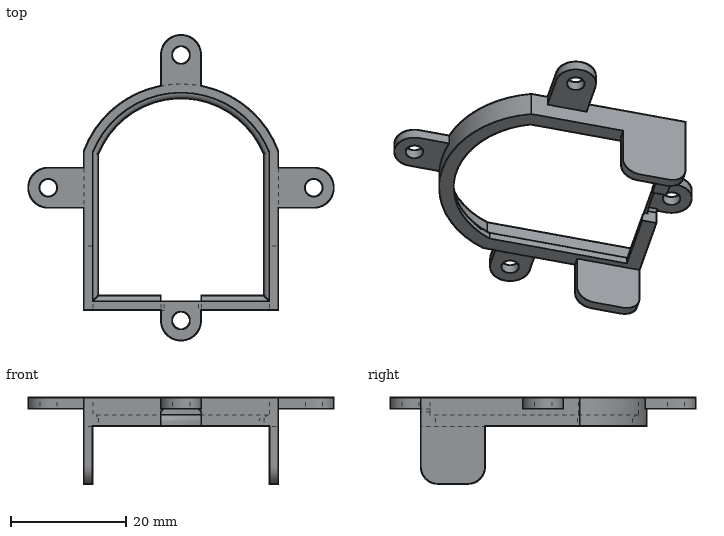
import cadquery as cq
import math

frame_width = 33.7
frame_front = -21.2
arch_radius = 18.0
wall = 1.55
frame_height = 5.0

ledge_width = 1.0
ledge_height = 2.0
ledge_embed = 0.75
ledge_top = ledge_height - frame_height

ear_reach = 26.5
ear_radius = 3.5
ear_thickness = 1.95
ear_hole_diameter = 3.0
ear_center = ear_reach - ear_radius

overall_height = 15.0
leg_depth = 11.2
leg_corner_radius = 3.0

notch_chamfer = 0.5


def arch_outline(inset, z):
    """Arch-topped rectangle, inset from the frame's outer outline."""
    half_width = frame_width / 2 - inset
    front = frame_front + inset
    radius = arch_radius - inset
    shoulder = math.sqrt(radius**2 - half_width**2)
    return (
        cq.Workplane("XY", origin=(0, 0, z))
        .moveTo(-half_width, front)
        .lineTo(half_width, front)
        .lineTo(half_width, shoulder)
        .threePointArc((0, radius), (-half_width, shoulder))
        .close()
    )


def frame_wall():
    outer = arch_outline(0, -frame_height).extrude(frame_height)
    return outer.cut(arch_outline(wall, -frame_height).extrude(frame_height))


def rail_profile(plane, inner_edge):
    """Ledge cross-section; local x runs outward from the ledge's inner edge."""
    width = ledge_width + ledge_embed
    round_mid = ledge_width * (1 - math.sqrt(0.5))
    return (
        cq.Workplane(plane)
        .moveTo(inner_edge, -frame_height)
        .lineTo(inner_edge + width, -frame_height)
        .lineTo(inner_edge + width, ledge_top)
        .lineTo(inner_edge + ledge_width, ledge_top)
        .threePointArc(
            (inner_edge + round_mid, ledge_top - round_mid),
            (inner_edge, ledge_top - ledge_width),
        )
        .close()
    )


def ledge():
    """Inner ledge with its upper edge rounded, mitred where its rails meet."""
    inset = wall + ledge_width
    rail_reach = arch_radius - frame_front
    front_rail = rail_profile("YZ", -frame_front - inset).extrude(rail_reach, both=True)
    front_rail = front_rail.mirror("XZ")
    right_rail = rail_profile("XZ", frame_width / 2 - inset).extrude(rail_reach, both=True)
    left_rail = right_rail.mirror("YZ")
    arch_rail = rail_profile("XZ", arch_radius - inset).revolve(180, (0, 0, 0), (0, 1, 0))
    rails = front_rail.union(right_rail).union(left_rail).union(arch_rail)
    return rails.intersect(arch_outline(wall - ledge_embed, -frame_height).extrude(ledge_height))


def ear(angle):
    """Round-ended ear running outward from the origin along the given angle."""
    bar = cq.Workplane("XY").box(
        ear_center, 2 * ear_radius, ear_thickness, centered=(False, True, False)
    )
    tip = cq.Workplane("XY").center(ear_center, 0).circle(ear_radius).extrude(ear_thickness)
    hole = (
        cq.Workplane("XY").center(ear_center, 0)
        .circle(ear_hole_diameter / 2).extrude(ear_thickness)
    )
    shape = bar.union(tip).cut(hole)
    return shape.translate((0, 0, -ear_thickness)).rotate((0, 0, 0), (0, 0, 1), angle)


def leg(x_min):
    return (
        cq.Workplane("XY", origin=(x_min, frame_front, -overall_height))
        .box(wall, leg_depth, overall_height - ear_thickness, centered=False)
        .edges("|X and <Z")
        .fillet(leg_corner_radius)
    )


def front_notch():
    """Gap through the front wall and ledge, below the front ear."""
    block = cq.Workplane("XY", origin=(0, frame_front, -frame_height)).box(
        2 * ear_radius,
        wall + ledge_width,
        frame_height - ear_thickness,
        centered=(True, False, False),
    )
    return block.edges("|Y and >Z").chamfer(notch_chamfer)


ears = ear(0)
for ear_angle in (90, 180, 270):
    ears = ears.union(ear(ear_angle))
ears = ears.cut(arch_outline(wall, -frame_height).extrude(frame_height))

result = frame_wall().union(ledge()).union(ears)
for leg_x in (-frame_width / 2, frame_width / 2 - wall):
    result = result.union(leg(leg_x))
result = result.cut(front_notch())